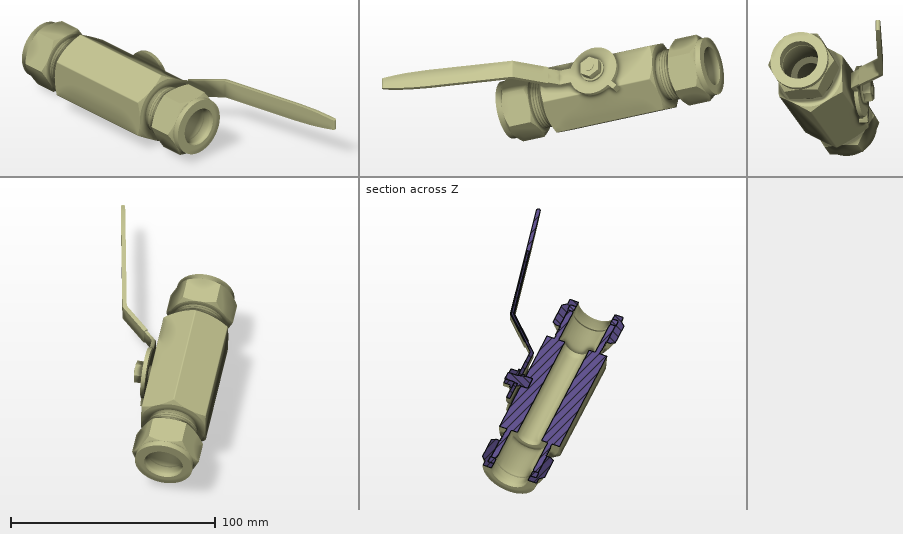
import cadquery as cq
import math


BODY_FLATS = 32.1
BODY_LENGTH = 60.1
BODY_EDGE_ROUND = 0.8
HEX_BEVEL_ANGLE = 30.0
HEX_HALF_STEP = 30.0
BORE_DIA = 12.7

THREAD_DIA = 25.4
THREAD_DEPTH = 0.6
THREAD_PITCH = 1.4
NECK_LENGTH = 1.9
SOCKET_DIA = 19.2
MOUTH_FLARE = 0.8

VALVE_LENGTH = 110.0
NUT_LENGTH = 17.4
NUT_FLATS = 28.8
NUT_COLLAR_DIA = 28.7
NUT_COLLAR_LENGTH = 3.0
NUT_LIP_LENGTH = 3.3
NUT_FRONT_BEVEL_ANGLE = 40.0
FERRULE_LENGTH = 3.0

PLATE_BOTTOM = 17.8
PLATE_THICKNESS = 2.0
PLATE_RADIUS = 12.5
ARM_WIDTH = 7.8
BEND_X = 17.8
ARM_ANGLE = 45.0
CORE_END_X = 74.4
STOP_ANGLE = 225.0
STOP_WIDTH = 2.6
STOP_THICKNESS = 1.5
STOP_REACH = 16.5
STOP_BOTTOM = 15.5

SLEEVE_START_X = 22.8
KNEE_X = 35.8
GRIP_ANGLE = 11.5
SLEEVE_WIDTH = 9.0
SLEEVE_THICKNESS = 2.2
TAPER_START_X = 77.5
TIP_X = 100.0
TIP_WIDTH = 5.1

STEM_DIA = 4.6
STEM_TOP = 25.0
STEM_SHOULDER_DIA = 6.0
STEM_BOTTOM = 12.4
COLLAR_DIA = 7.9
COLLAR_BOTTOM = 16.7
FLANGE_DIA = 12.1
FLANGE_THICKNESS = 1.1
STEM_NUT_FLATS = 9.5
STEM_NUT_HEIGHT = 3.5

BODY_END = BODY_LENGTH / 2
NUT_OUTER_X = VALVE_LENGTH / 2
NUT_INNER_X = NUT_OUTER_X - NUT_LENGTH
NUT_HEX_X = NUT_OUTER_X - NUT_COLLAR_LENGTH
LIP_X = NUT_OUTER_X - NUT_LIP_LENGTH
MOUTH_X = LIP_X - FERRULE_LENGTH
THREAD_START_X = BODY_END + NECK_LENGTH
ROOT_DIA = THREAD_DIA - 2 * THREAD_DEPTH

PLATE_TOP = PLATE_BOTTOM + PLATE_THICKNESS
FLANGE_TOP = PLATE_TOP + FLANGE_THICKNESS
ARM_THICKNESS = PLATE_THICKNESS * math.cos(math.radians(ARM_ANGLE))


def corner_dia(flats):
    """Diameter across the corners of a hexagon."""
    return flats / math.cos(math.radians(HEX_HALF_STEP))


def x_cylinder(dia, x_start, x_end):
    return cq.Workplane("YZ", origin=(x_start, 0, 0)).circle(dia / 2).extrude(x_end - x_start)


def y_cylinder(dia, y_start, y_end):
    return cq.Workplane("XZ", origin=(0, y_start, 0)).circle(dia / 2).extrude(y_start - y_end)


def turned(points):
    """Solid of revolution about X from (x, radius) points."""
    return cq.Workplane("XY").polyline(points).close().revolve(360, (0, 0, 0), (1, 0, 0))


def bevel_length(flats, angle):
    """Axial length of a bevel that cuts hexagon corners down to the flats."""
    return (corner_dia(flats) - flats) / 2 * math.tan(math.radians(angle))


def both_ends(right_half):
    return [right_half, right_half.mirror("YZ")]


def body_hex():
    bevel = bevel_length(BODY_FLATS, HEX_BEVEL_ANGLE)
    corner = corner_dia(BODY_FLATS) / 2
    prism = (
        cq.Workplane("YZ", origin=(-BODY_END, 0, 0))
        .polygon(6, corner_dia(BODY_FLATS))
        .extrude(BODY_LENGTH)
        .rotate((0, 0, 0), (1, 0, 0), HEX_HALF_STEP)
        .edges("|X")
        .fillet(BODY_EDGE_ROUND)
    )
    envelope = turned([
        (-BODY_END, 0),
        (-BODY_END, BODY_FLATS / 2),
        (bevel - BODY_END, corner),
        (BODY_END - bevel, corner),
        (BODY_END, BODY_FLATS / 2),
        (BODY_END, 0),
    ])
    return prism.intersect(envelope)


def threaded_end():
    """Right-hand tube socket: neck, exposed ring threads, plain stretch inside the nut."""
    outline = [(BODY_END, SOCKET_DIA / 2), (BODY_END, ROOT_DIA / 2), (THREAD_START_X, ROOT_DIA / 2)]
    ring_count = int((NUT_INNER_X - THREAD_START_X) / THREAD_PITCH)
    for ring in range(ring_count):
        root_x = THREAD_START_X + ring * THREAD_PITCH
        outline.append((root_x + THREAD_PITCH / 2, THREAD_DIA / 2))
        outline.append((root_x + THREAD_PITCH, ROOT_DIA / 2))
    outline += [
        (NUT_INNER_X, THREAD_DIA / 2),
        (MOUTH_X, THREAD_DIA / 2),
        (MOUTH_X, SOCKET_DIA / 2 + MOUTH_FLARE),
        (MOUTH_X - MOUTH_FLARE, SOCKET_DIA / 2),
    ]
    return turned(outline)


def make_body():
    """Hexagonal bar with a through bore, two tube sockets and a seat for the stem."""
    body = body_hex().cut(x_cylinder(BORE_DIA, -BODY_END, BODY_END))
    for end in both_ends(threaded_end()):
        body = body.union(end)
    return body.cut(y_cylinder(STEM_SHOULDER_DIA, STEM_BOTTOM, PLATE_BOTTOM))


def make_right_nut():
    """Hexagon nut with a round outer collar and a lip around the tube hole."""
    corner = corner_dia(NUT_FLATS) / 2
    front_bevel = bevel_length(NUT_FLATS, NUT_FRONT_BEVEL_ANGLE)
    back_bevel = bevel_length(NUT_FLATS, HEX_BEVEL_ANGLE)
    prism = (
        cq.Workplane("YZ", origin=(NUT_INNER_X, 0, 0))
        .polygon(6, corner_dia(NUT_FLATS))
        .extrude(NUT_HEX_X - NUT_INNER_X)
    )
    envelope = turned([
        (NUT_INNER_X, 0),
        (NUT_INNER_X, NUT_FLATS / 2),
        (NUT_INNER_X + back_bevel, corner),
        (NUT_HEX_X - front_bevel, corner),
        (NUT_HEX_X, NUT_FLATS / 2),
        (NUT_HEX_X, 0),
    ])
    collar = x_cylinder(NUT_COLLAR_DIA, NUT_HEX_X, NUT_OUTER_X)
    thread_hole = x_cylinder(THREAD_DIA, NUT_INNER_X, LIP_X)
    tube_hole = x_cylinder(SOCKET_DIA, NUT_INNER_X, NUT_OUTER_X)
    return prism.intersect(envelope).union(collar).cut(thread_hole).cut(tube_hole)


def make_right_ferrule():
    """Ring clamped between the nut lip and the mouth of the body."""
    return x_cylinder(THREAD_DIA, MOUTH_X, LIP_X).cut(x_cylinder(SOCKET_DIA, MOUTH_X, LIP_X))


ARM_START = (BEND_X, PLATE_BOTTOM + PLATE_THICKNESS / 2)


def point_on_arm(x):
    return (x, ARM_START[1] + (x - BEND_X) * math.tan(math.radians(ARM_ANGLE)))


KNEE = point_on_arm(KNEE_X)


def point_on_grip(x):
    return (x, KNEE[1] + (x - KNEE_X) * math.tan(math.radians(GRIP_ANGLE)))


def shifted(point, angle, distance):
    """Point moved square to a line at the given angle, to its upper side."""
    rad = math.radians(angle)
    return (point[0] - distance * math.sin(rad), point[1] + distance * math.cos(rad))


def knee_corner(distance):
    """Mitred corner of the strip at the knee."""
    miter = distance / math.cos(math.radians((ARM_ANGLE - GRIP_ANGLE) / 2))
    return shifted(KNEE, (ARM_ANGLE + GRIP_ANGLE) / 2, miter)


def bent_strip(start_x, end_x, thickness, width):
    """Flat strip running up the arm, over the knee and along the grip."""
    half = thickness / 2
    start = point_on_arm(start_x)
    end = point_on_grip(end_x)
    outline = [
        shifted(start, ARM_ANGLE, half),
        knee_corner(half),
        shifted(end, GRIP_ANGLE, half),
        shifted(end, GRIP_ANGLE, -half),
        knee_corner(-half),
        shifted(start, ARM_ANGLE, -half),
    ]
    return cq.Workplane("XY", origin=(0, 0, -width / 2)).polyline(outline).close().extrude(width)


def handle_core():
    """Part of the handle strip that lies inside the sleeve."""
    return bent_strip(SLEEVE_START_X, CORE_END_X, ARM_THICKNESS, ARM_WIDTH)


def handle_arm():
    """Flat arm leaving the plate, then rising to the start of the sleeve."""
    rise_end = point_on_arm(SLEEVE_START_X)
    half = ARM_THICKNESS / 2
    return (
        cq.Workplane("XY", origin=(0, 0, -ARM_WIDTH / 2))
        .moveTo(0, PLATE_BOTTOM)
        .lineTo(BEND_X, PLATE_BOTTOM)
        .lineTo(*shifted(rise_end, ARM_ANGLE, -half))
        .lineTo(*shifted(rise_end, ARM_ANGLE, half))
        .lineTo(BEND_X, PLATE_TOP)
        .lineTo(0, PLATE_TOP)
        .close()
        .extrude(ARM_WIDTH)
    )


def stop_tab():
    """Radial ear on the plate with its end turned down beside the body."""
    ear = cq.Workplane("XY").box(
        STOP_REACH, PLATE_THICKNESS, STOP_WIDTH, centered=(False, False, True)
    ).translate((0, PLATE_BOTTOM, 0))
    leg = cq.Workplane("XY").box(
        STOP_THICKNESS, PLATE_TOP - STOP_BOTTOM, STOP_WIDTH, centered=(False, False, True)
    ).translate((STOP_REACH - STOP_THICKNESS, STOP_BOTTOM, 0))
    return ear.union(leg).rotate((0, 0, 0), (0, 1, 0), -STOP_ANGLE)


def make_handle():
    plate = y_cylinder(2 * PLATE_RADIUS, PLATE_BOTTOM, PLATE_TOP)
    handle = plate.union(stop_tab()).union(handle_arm()).union(handle_core())
    return handle.cut(y_cylinder(STEM_DIA, PLATE_BOTTOM, PLATE_TOP))


def sleeve_plan():
    """Sleeve outline seen along Y, with its sides curving in to the tip."""
    half = SLEEVE_WIDTH / 2
    tip_half = TIP_WIDTH / 2
    length = TIP_X - TAPER_START_X
    narrowing = half - tip_half
    radius = (length**2 + narrowing**2) / (2 * narrowing)
    half_angle = math.asin(length / radius) / 2
    mid_x = TAPER_START_X + radius * math.sin(half_angle)
    mid_z = half - radius * (1 - math.cos(half_angle))
    return (
        cq.Workplane("XZ")
        .moveTo(0, half)
        .lineTo(TAPER_START_X, half)
        .threePointArc((mid_x, mid_z), (TIP_X, tip_half))
        .lineTo(TIP_X, -tip_half)
        .threePointArc((mid_x, -mid_z), (TAPER_START_X, -half))
        .lineTo(0, -half)
        .close()
        .extrude(-(point_on_grip(TIP_X)[1] + SLEEVE_THICKNESS))
    )


def make_sleeve():
    """Grip cover with a rounded tip and a slot for the handle strip."""
    tip_round = SLEEVE_THICKNESS / 2
    end_center_x = TIP_X - tip_round
    tip = (
        cq.Workplane("XY", origin=(*point_on_grip(end_center_x), -SLEEVE_WIDTH / 2))
        .circle(tip_round)
        .extrude(SLEEVE_WIDTH)
    )
    strip = bent_strip(SLEEVE_START_X, end_center_x, SLEEVE_THICKNESS, SLEEVE_WIDTH)
    return strip.union(tip).intersect(sleeve_plan()).cut(handle_core())


def make_stem():
    """Stem with a shoulder seated in the body and a collar that carries the handle plate."""
    shoulder = y_cylinder(STEM_SHOULDER_DIA, STEM_BOTTOM, COLLAR_BOTTOM)
    collar = y_cylinder(COLLAR_DIA, COLLAR_BOTTOM, PLATE_BOTTOM)
    upper_end = y_cylinder(STEM_DIA, PLATE_BOTTOM, STEM_TOP)
    return shoulder.union(collar).union(upper_end)


def make_stem_nut():
    """Hexagon nut with a round flange, clamping the plate on the stem."""
    flange = y_cylinder(FLANGE_DIA, PLATE_TOP, FLANGE_TOP)
    hexagon = (
        cq.Workplane("XZ", origin=(0, FLANGE_TOP, 0))
        .polygon(6, corner_dia(STEM_NUT_FLATS))
        .extrude(-STEM_NUT_HEIGHT)
        .rotate((0, 0, 0), (0, 1, 0), HEX_HALF_STEP)
    )
    return flange.union(hexagon).cut(y_cylinder(STEM_DIA, PLATE_TOP, STEM_TOP))


valve_body = make_body()
tube_nuts = both_ends(make_right_nut())
ferrules = both_ends(make_right_ferrule())
handle = make_handle()
sleeve = make_sleeve()
stem = make_stem()
stem_nut = make_stem_nut()

result = cq.Compound.makeCompound([
    valve_body.val(),
    *[nut.val() for nut in tube_nuts],
    *[ferrule.val() for ferrule in ferrules],
    handle.val(),
    sleeve.val(),
    stem.val(),
    stem_nut.val(),
])